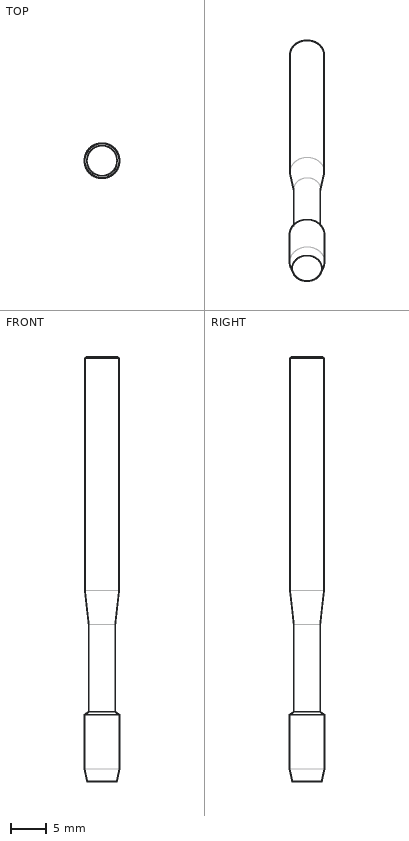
import cadquery as cq

HEAD_DIAMETER = 5.0
SHANK_DIAMETER = 4.9
NECK_DIAMETER = 3.8
TIP_DIAMETER = 4.2

TOTAL_LENGTH = 60.3
LEAD_LENGTH = 1.8
HEAD_LENGTH = 9.9
TAPER_BOTTOM = 22.3
TAPER_TOP = 27.15

SHANK_CHAMFER_WIDTH = 0.3
SHANK_CHAMFER_HEIGHT = 0.25
HEAD_CHAMFER_HEIGHT = 0.4

head_radius = HEAD_DIAMETER / 2
shank_radius = SHANK_DIAMETER / 2
neck_radius = NECK_DIAMETER / 2
tip_radius = TIP_DIAMETER / 2


def revolve_about_z(outline):
    """Turn a closed (radius, height) outline once around the Z axis."""
    return cq.Workplane("XZ").polyline(outline).close().revolve(360, (0, 0), (0, 1))


def make_shank():
    """Round shank with a chamfered top, tapering down to a slim neck."""
    return revolve_about_z([
        (0, HEAD_LENGTH),
        (neck_radius, HEAD_LENGTH),
        (neck_radius, TAPER_BOTTOM),
        (shank_radius, TAPER_TOP),
        (shank_radius, TOTAL_LENGTH - SHANK_CHAMFER_HEIGHT),
        (shank_radius - SHANK_CHAMFER_WIDTH, TOTAL_LENGTH),
        (0, TOTAL_LENGTH),
    ])


def make_head():
    """Working head: tapered lead at the tip, shoulder chamfered to the neck diameter."""
    return revolve_about_z([
        (0, 0),
        (tip_radius, 0),
        (head_radius, LEAD_LENGTH),
        (head_radius, HEAD_LENGTH - HEAD_CHAMFER_HEIGHT),
        (neck_radius, HEAD_LENGTH),
        (0, HEAD_LENGTH),
    ])


shank = make_shank()
head = make_head()

result = cq.Compound.makeCompound([shank.val(), head.val()])